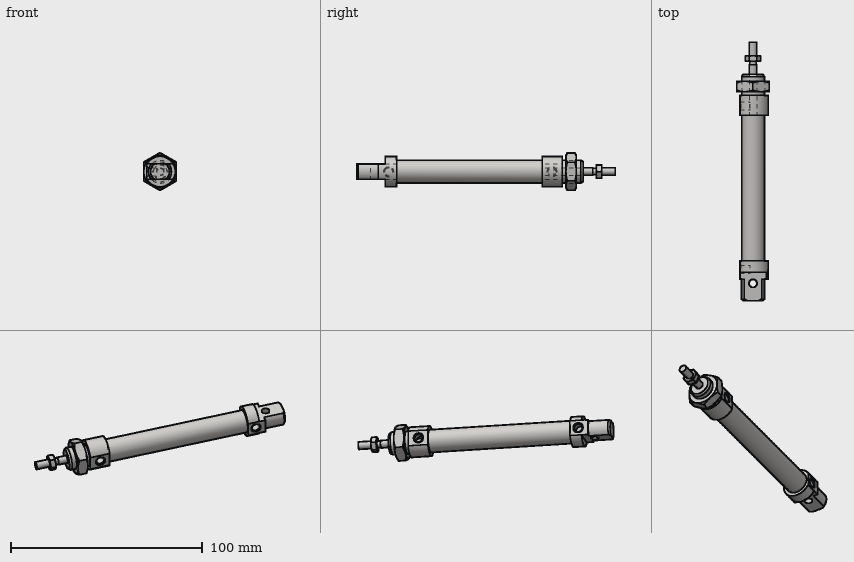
import cadquery as cq
import math

LENGTH = 135.0

BARREL_DIAMETER = 12.0
BARREL_RADIUS = BARREL_DIAMETER / 2
COLLAR_END = 118.3
COLLAR_CHAMFER_LENGTH = 1.2
COLLAR_CHAMFER_DEPTH = 0.8
CAP_RADIUS = 8.0
CAP_FLAT_X = -6.9
FRONT_CAP_START = 96.8
FRONT_CAP_END = 107.3
REAR_CAP_START = 11.3
REAR_CAP_END = 20.9
TONGUE_THICKNESS = 8.1
TONGUE_STEP = 14.8
TONGUE_CHAMFER_LENGTH = 1.0
TONGUE_CHAMFER_DEPTH = 1.1
PIVOT_HOLE_DIAMETER = 4.0
PIVOT_HOLE_Y = 9.2

PORT_DIAMETER = 4.2
PORT_MOUTH_DIAMETER = 5.3
PORT_FLOOR_X = -1.8
FRONT_PORT_Y = 101.8
REAR_PORT_Y = 16.6

ROD_RADIUS = 2.0
ROD_START = FRONT_CAP_START
NECK_RADIUS = 1.8
NECK_START = 123.1

ROD_NUT_WIDTH = 7.0
ROD_NUT_START = 125.0
ROD_NUT_END = 128.0
MOUNT_NUT_WIDTH = 17.0
MOUNT_NUT_START = 109.2
MOUNT_NUT_END = 114.6
NUT_CHAMFER_ANGLE = 30.0
HEX_HALF_ANGLE = 30.0


def cylinder(radius, start, end):
    """Cylinder on the Y axis between two Y positions."""
    return cq.Workplane("XZ", origin=(0, start, 0)).circle(radius).extrude(start - end)


def revolved(profile):
    """Solid of revolution about Y from (radius, y) points."""
    return cq.Workplane("XY").polyline(profile).close().revolve(360, (0, 0), (0, 1))


def hex_nut(width, bore_radius, start, end, turn):
    """Hex nut on the Y axis with both ends chamfered; turn = 0 puts two corners on X."""
    flat_radius = width / 2
    corner_radius = flat_radius / math.cos(math.radians(HEX_HALF_ANGLE))
    drop = (corner_radius - flat_radius) * math.tan(math.radians(NUT_CHAMFER_ANGLE))
    envelope = revolved([
        (0, start),
        (flat_radius, start),
        (corner_radius, start + drop),
        (corner_radius, end - drop),
        (flat_radius, end),
        (0, end),
    ])
    prism = cq.Workplane("XZ", origin=(0, start, 0)).polygon(6, 2 * corner_radius).extrude(start - end)
    prism = prism.rotate((0, 0, 0), (0, 1, 0), turn)
    return prism.intersect(envelope).cut(cylinder(bore_radius, start, end))


def port_cap(start, end):
    """Round cap with a flat on its -X side."""
    size = 2 * CAP_RADIUS
    keep = cq.Workplane("XY").box(size, end - start, size, centered=(False, False, True))
    return cylinder(CAP_RADIUS, start, end).intersect(keep.translate((CAP_FLAT_X, start, 0)))


def port(y):
    """Blind port with a 45 degree countersunk mouth."""
    radius = PORT_DIAMETER / 2
    mouth_radius = PORT_MOUTH_DIAMETER / 2
    mouth_bottom = CAP_FLAT_X + mouth_radius - radius
    profile = [
        (CAP_FLAT_X, 0),
        (CAP_FLAT_X, mouth_radius),
        (mouth_bottom, radius),
        (PORT_FLOOR_X, radius),
        (PORT_FLOOR_X, 0),
    ]
    cutter = cq.Workplane("XY").polyline(profile).close().revolve(360, (0, 0), (1, 0))
    return cutter.translate((0, y, 0))


def make_housing(rod):
    """Barrel with both caps, the rear tongue, the ports and a bore for the rod."""
    barrel = revolved([
        (0, 0),
        (BARREL_RADIUS - TONGUE_CHAMFER_DEPTH, 0),
        (BARREL_RADIUS, TONGUE_CHAMFER_LENGTH),
        (BARREL_RADIUS, COLLAR_END - COLLAR_CHAMFER_LENGTH),
        (BARREL_RADIUS - COLLAR_CHAMFER_DEPTH, COLLAR_END),
        (0, COLLAR_END),
    ])
    housing = barrel.union(port_cap(FRONT_CAP_START, FRONT_CAP_END))
    housing = housing.union(port_cap(REAR_CAP_START, REAR_CAP_END))

    for side in (1, -1):
        waste = cq.Workplane("XY").box(2 * CAP_RADIUS, TONGUE_STEP, CAP_RADIUS, centered=(True, False, True))
        waste_z = side * (TONGUE_THICKNESS + CAP_RADIUS) / 2
        housing = housing.cut(waste.translate((0, 0, waste_z)))

    pivot_hole = cq.Workplane("XY").center(0, PIVOT_HOLE_Y).circle(PIVOT_HOLE_DIAMETER / 2)
    housing = housing.cut(pivot_hole.extrude(TONGUE_THICKNESS, both=True))
    for y in (FRONT_PORT_Y, REAR_PORT_Y):
        housing = housing.cut(port(y))
    return housing.cut(rod)


def make_rod():
    """Rod with a thin neck behind the rod nut."""
    return revolved([
        (0, ROD_START),
        (ROD_RADIUS, ROD_START),
        (ROD_RADIUS, NECK_START),
        (NECK_RADIUS, NECK_START),
        (NECK_RADIUS, ROD_NUT_START),
        (ROD_RADIUS, ROD_NUT_START),
        (ROD_RADIUS, LENGTH),
        (0, LENGTH),
    ])


rod = make_rod()
housing = make_housing(rod)
rod_nut = hex_nut(ROD_NUT_WIDTH, ROD_RADIUS, ROD_NUT_START, ROD_NUT_END, 0)
mount_nut = hex_nut(MOUNT_NUT_WIDTH, BARREL_RADIUS, MOUNT_NUT_START, MOUNT_NUT_END, 30)

result = cq.Compound.makeCompound([housing.val(), rod.val(), rod_nut.val(), mount_nut.val()])